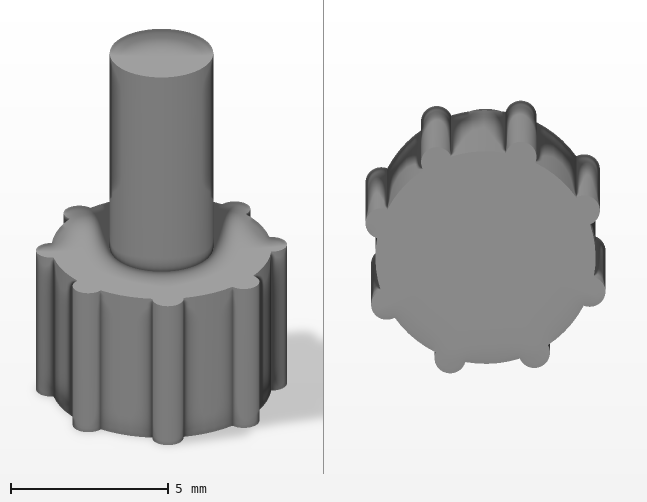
import cadquery as cq

total_height = 12.0
head_height = 5.0
shaft_diameter = 3.3
outer_diameter = 8.0
rib_diameter = 1.0
rib_count = 8

head_diameter = outer_diameter - rib_diameter


def grip_head():
    """Round head with full-height cylindrical ribs spaced evenly around its rim."""
    core = cq.Workplane("XY").circle(head_diameter / 2).extrude(head_height)
    ribs = (
        cq.Workplane("XY")
        .polarArray(head_diameter / 2, 0, 360, rib_count)
        .circle(rib_diameter / 2)
        .extrude(head_height)
    )
    return core.union(ribs)


def shaft():
    """Plain cylindrical shaft rising from the top of the head."""
    shaft_length = total_height - head_height
    return (
        cq.Workplane("XY")
        .workplane(offset=head_height)
        .circle(shaft_diameter / 2)
        .extrude(shaft_length)
    )


result = grip_head().union(shaft())